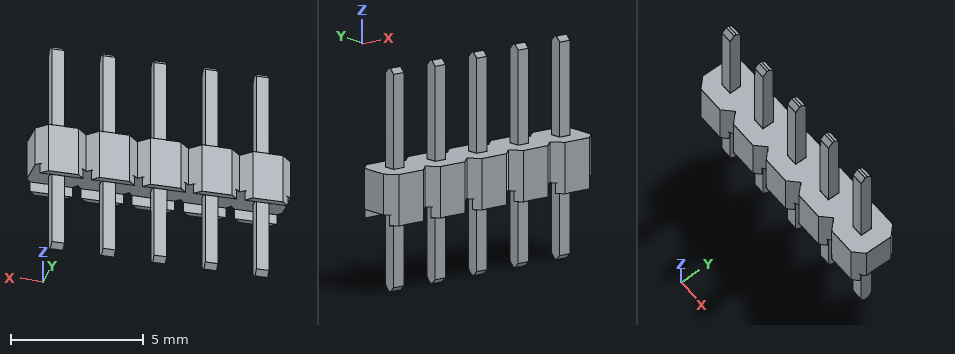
import cadquery as cq

pin_count = 5
pitch = 2.0
housing_height = 2.0
corner_chamfer = 0.41
channel_width = 1.5
channel_depth = 0.41

pin_width = 0.5
pin_above_housing = 3.89
pin_below_housing = 2.8
tip_length = 0.2
tip_flat = 0.1

housing_length = pin_count * pitch
pin_bottom = -pin_below_housing
pin_top = housing_height + pin_above_housing
pin_positions = [(i - (pin_count - 1) / 2) * pitch for i in range(pin_count)]


def make_cell(x):
    """One square housing cell with chamfered vertical edges."""
    cell = cq.Workplane("XY").box(pitch, pitch, housing_height, centered=(True, True, False))
    return cell.edges("|Z").chamfer(corner_chamfer).translate((x, 0, 0))


def make_channel():
    """Clearance channel running the full length of the housing underside."""
    return cq.Workplane("XY").box(
        housing_length, channel_width, channel_depth, centered=(True, True, False)
    )


def make_pin(x):
    """One pin, its front and back faces sloping inward at each tip."""
    half_width = pin_width / 2
    half_flat = tip_flat / 2
    profile = [
        (-half_flat, pin_bottom),
        (half_flat, pin_bottom),
        (half_width, pin_bottom + tip_length),
        (half_width, pin_top - tip_length),
        (half_flat, pin_top),
        (-half_flat, pin_top),
        (-half_width, pin_top - tip_length),
        (-half_width, pin_bottom + tip_length),
    ]
    pin = cq.Workplane("YZ").polyline(profile).close().extrude(pin_width / 2, both=True)
    return pin.translate((x, 0, 0))


housing = make_cell(pin_positions[0])
for x in pin_positions[1:]:
    housing = housing.union(make_cell(x))

result = housing.cut(make_channel())
for x in pin_positions:
    result = result.union(make_pin(x))